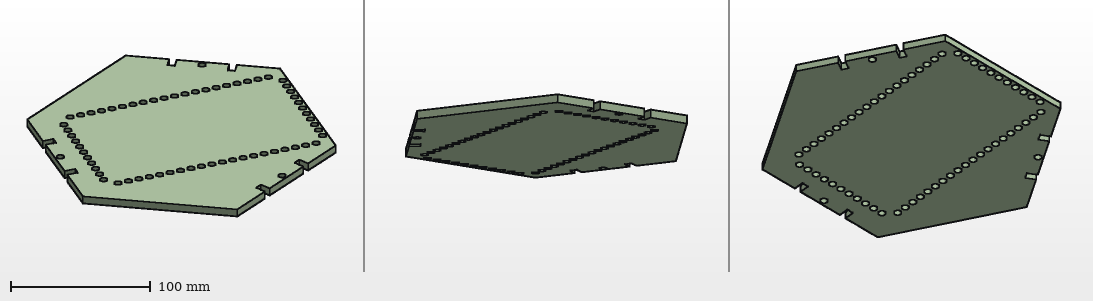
import cadquery as cq
import math

width_across_corners = 224.0
thickness = 6.0
edge_distance = width_across_corners / 2 * math.cos(math.pi / 6)

hole_diameter = 5.4
frame_height = 168.0
frame_center_y = 9.0
steps_along_height = 21
steps_along_width = 12
hole_pitch = frame_height / steps_along_height
frame_width = hole_pitch * steps_along_width

slot_width = 5.4
slot_depth = 8.0
slot_spacing = 43.7
edge_hole_inset = 4.0
slotted_edge_angles = (0, 120, 240)


def frame_hole_points():
    """Hole centres along the four sides of the frame."""
    points = []
    for step in range(1, steps_along_width):
        x = -frame_width / 2 + step * hole_pitch
        for side in (-1, 1):
            points.append((x, frame_center_y + side * frame_height / 2))
    for step in range(1, steps_along_height):
        y = frame_center_y - frame_height / 2 + step * hole_pitch
        for side in (-1, 1):
            points.append((side * frame_width / 2, y))
    return points


def edge_cutter():
    """Slots and hole of the -Y edge, as a tool to subtract."""
    slots = (
        cq.Workplane("XY")
        .pushPoints([(-slot_spacing / 2, -edge_distance), (slot_spacing / 2, -edge_distance)])
        .rect(slot_width, 2 * slot_depth)
        .extrude(thickness)
    )
    hole = (
        cq.Workplane("XY")
        .center(0, -edge_distance + edge_hole_inset)
        .circle(hole_diameter / 2)
        .extrude(thickness)
    )
    return slots.add(hole).combine()


plate = cq.Workplane("XY").polygon(6, width_across_corners).extrude(thickness)
frame_holes = (
    cq.Workplane("XY")
    .pushPoints(frame_hole_points())
    .circle(hole_diameter / 2)
    .extrude(thickness)
)
result = plate.cut(frame_holes)
for angle in slotted_edge_angles:
    result = result.cut(edge_cutter().rotate((0, 0, 0), (0, 0, 1), angle))